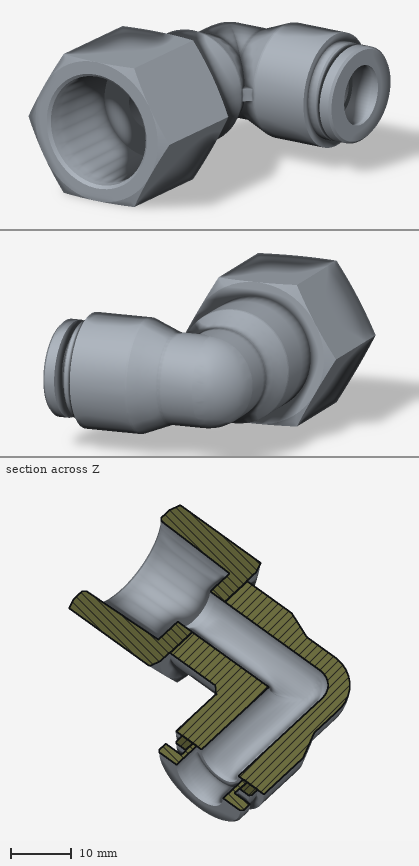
import cadquery as cq
import math


body_diameter = 19.3
overall_length_y = 49.45
overall_length_x = 39.65
hex_across_flats = 24.0

bore_diameter = 8.0
tube_hole_diameter = 10.15

hex_length = 19.0
hex_across_corners = hex_across_flats / math.cos(math.pi / 6)
hex_corner_bevel_angle = math.radians(20)
thread_depth = 15.8
thread_mouth_diameter = 18.65
thread_taper = 1 / 16
mouth_chamfer = 0.5

elbow_diameter = 15.35
cone_start = 6.0
cone_end = 11.05
cone_blend_radius = 1.0
web_thickness = 2.0

ring_diameter = 16.5
ring_length = 1.8
ring_chamfer = 0.3

neck_diameter = 11.7
flange_height = 18.5
flange_width = 16.05
flange_thickness = 2.1
flange_chamfer = 0.4

port_end = overall_length_y - body_diameter / 2
hex_start = port_end - hex_length
button_end = overall_length_x - hex_across_corners / 2
elbow_end = 20.8
flange_start = button_end - flange_thickness


def port_plane(distance):
    """Plane across the port axis, facing outward at the given distance from the origin."""
    return cq.Workplane(cq.Plane(origin=(0, -distance, 0), xDir=(1, 0, 0), normal=(0, -1, 0)))


def tube_plane(distance):
    """Plane across the tube axis, with local x along Y, facing outward along +X."""
    return cq.Workplane(cq.Plane(origin=(distance, 0, 0), xDir=(0, 1, 0), normal=(1, 0, 0)))


def elbow_arm(length):
    """One arm along +X: slim cylinder, blended cone and full-diameter cylinder."""
    slim_radius = elbow_diameter / 2
    full_radius = body_diameter / 2
    arm = (
        cq.Workplane("XY")
        .moveTo(0, 0)
        .lineTo(0, slim_radius)
        .lineTo(cone_start, slim_radius)
        .lineTo(cone_end, full_radius)
        .lineTo(length, full_radius)
        .lineTo(length, 0)
        .close()
        .revolve(360, (0, 0, 0), (1, 0, 0))
    )
    cone_edges = cq.selectors.BoxSelector(
        (cone_start - cone_blend_radius, -body_diameter, -body_diameter),
        (cone_end + cone_blend_radius, body_diameter, body_diameter),
    )
    return arm.edges(cone_edges).fillet(cone_blend_radius)


def elbow_web():
    """Thin plate that fills the inner corner between the two cones."""
    half_angle = math.atan2((body_diameter - elbow_diameter) / 2, cone_end - cone_start) / 2
    far = cone_end - cone_blend_radius * math.tan(half_angle)
    near = body_diameter / 2
    return (
        cq.Workplane("XY")
        .polyline([(cone_start, -cone_start), (far, -near), (near, -far)])
        .close()
        .extrude(web_thickness / 2, both=True)
    )


def make_elbow():
    tube_arm = elbow_arm(elbow_end)
    port_arm = elbow_arm(hex_start).rotate((0, 0, 0), (0, 0, 1), -90)
    elbow = tube_arm.union(port_arm).union(cq.Workplane("XY").sphere(elbow_diameter / 2))
    elbow = elbow.union(elbow_web())
    passage = (
        tube_plane(0).circle(bore_diameter / 2).extrude(elbow_end)
        .union(port_plane(0).circle(bore_diameter / 2).extrude(hex_start))
        .union(cq.Workplane("XY").sphere(bore_diameter / 2))
    )
    return elbow.cut(passage)


def make_hex_socket():
    prism = port_plane(hex_start).polygon(6, hex_across_corners).extrude(hex_length)
    flat_radius = hex_across_flats / 2
    corner_radius = hex_across_corners / 2
    bevel_depth = (corner_radius - flat_radius) * math.tan(hex_corner_bevel_angle)
    turned_envelope = (
        cq.Workplane("XY")
        .polyline([
            (0, -hex_start),
            (flat_radius, -hex_start),
            (corner_radius, -hex_start - bevel_depth),
            (corner_radius, -port_end + bevel_depth),
            (flat_radius, -port_end),
            (0, -port_end),
        ])
        .close()
        .revolve(360, (0, 0, 0), (0, 1, 0))
    )
    mouth_radius = thread_mouth_diameter / 2
    floor_radius = mouth_radius - thread_depth * thread_taper / 2
    floor = port_end - thread_depth
    hole = (
        cq.Workplane("XY")
        .polyline([
            (0, -hex_start),
            (bore_diameter / 2, -hex_start),
            (bore_diameter / 2, -floor),
            (floor_radius, -floor),
            (mouth_radius, -port_end + mouth_chamfer),
            (mouth_radius + mouth_chamfer, -port_end),
            (0, -port_end),
        ])
        .close()
        .revolve(360, (0, 0, 0), (0, 1, 0))
    )
    return prism.intersect(turned_envelope).cut(hole)


def make_guide_ring():
    ring = tube_plane(elbow_end).circle(ring_diameter / 2).extrude(ring_length)
    ring = ring.faces(">X").edges().chamfer(ring_chamfer)
    neck_hole = tube_plane(elbow_end).circle(neck_diameter / 2).extrude(ring_length)
    return ring.cut(neck_hole)


def make_release_button():
    neck = tube_plane(elbow_end).circle(neck_diameter / 2).extrude(flange_start - elbow_end)
    flange = tube_plane(flange_start).ellipse(flange_height / 2, flange_width / 2).extrude(flange_thickness)
    flange = flange.faces(">X").edges().chamfer(flange_chamfer)
    tube_hole = tube_plane(elbow_end).circle(tube_hole_diameter / 2).extrude(button_end - elbow_end)
    return neck.union(flange).cut(tube_hole)


elbow = make_elbow()
hex_socket = make_hex_socket()
guide_ring = make_guide_ring()
release_button = make_release_button()

result = cq.Compound.makeCompound([
    elbow.solids().val(),
    hex_socket.solids().val(),
    guide_ring.solids().val(),
    release_button.solids().val(),
])